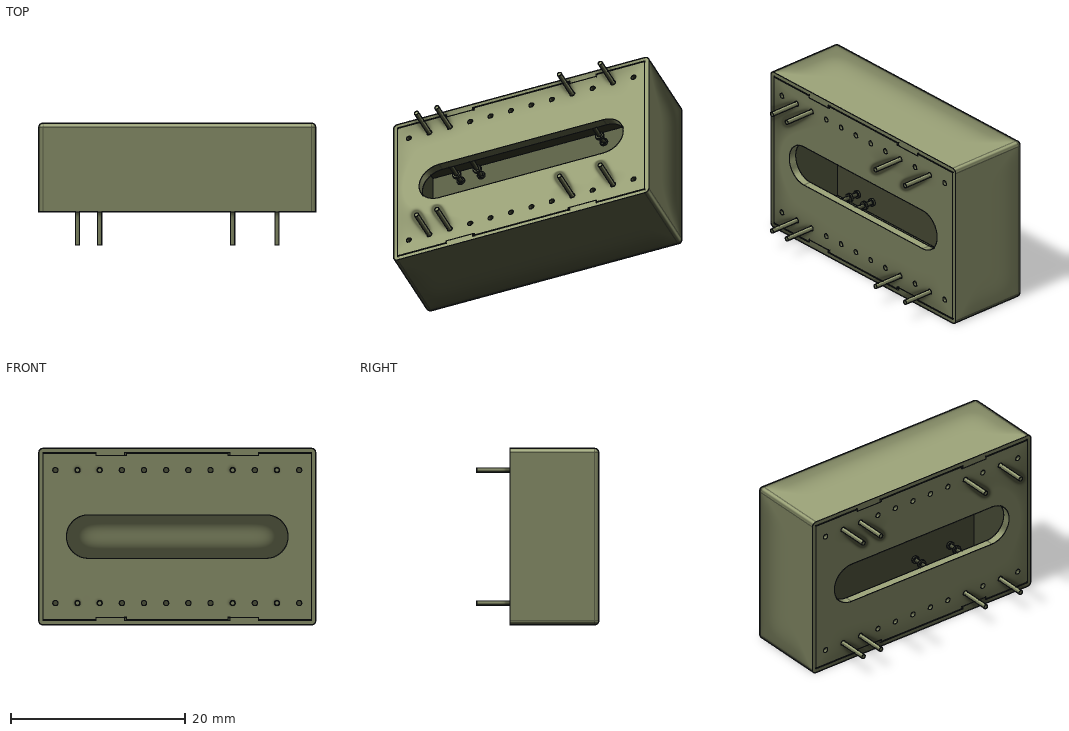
import cadquery as cq

LENGTH = 31.8
HEIGHT = 20.3
DEPTH = 10.2
EDGE_RADIUS = 0.5
BACK_WALL = 0.75
CAVITY_LENGTH = 29.95
CAVITY_HEIGHT = 18.45

RIM = 0.5
PLATE_THICKNESS = 1.0
SEAT_LENGTH = LENGTH - 2 * RIM
SEAT_HEIGHT = HEIGHT - 2 * RIM
TAB_OUTER_END = 9.35
TAB_LENGTH = 3.3
TAB_DEPTH = 0.35

PLATE_GAP = 0.1
PLATE_HEIGHT = SEAT_HEIGHT - 2 * PLATE_GAP
NOTCH_LENGTH = 3.5
SLOT_LENGTH = 25.45
SLOT_HEIGHT = 5.0

HOLES_PER_ROW = 12
PITCH = 2.55
ROW_Z = 7.63
HOLE_DIAMETER = 0.6
PIN_COLUMNS = (1, 2, 8, 10)

PIN_DIAMETER = 0.5
PIN_REACH = 3.82
PIN_BACK = DEPTH - BACK_WALL
HEAD_DIAMETER = 0.9
HEAD_THICKNESS = 0.25
COLLAR_DIAMETER = 1.0
COLLAR_THICKNESS = 0.25
COLLAR_SETBACK = 1.43
COLLAR_FRONT = PIN_BACK - COLLAR_SETBACK

HOLE_X = [(column - (HOLES_PER_ROW - 1) / 2) * PITCH for column in range(HOLES_PER_ROW)]
ROWS = (-ROW_Z, ROW_Z)


def block(x_size, z_size, front, back):
    """A box centred on x and z that runs from y = front to y = back."""
    return cq.Workplane("XY").box(x_size, back - front, z_size).translate((0, (front + back) / 2, 0))


def rod(diameter, front, back):
    """A cylinder on the y axis from y = front to y = back."""
    return cq.Workplane("XZ", origin=(0, front, 0)).circle(diameter / 2).extrude(front - back)


def edge_blocks(length, inner_height):
    """Four blocks along the top and bottom of the seat that share their outer end faces."""
    block_height = (SEAT_HEIGHT - inner_height) / 2
    single = block(length, block_height, 0, PLATE_THICKNESS)
    blocks = cq.Workplane("XY")
    for side in (-1, 1):
        for level in (-1, 1):
            x = side * (TAB_OUTER_END - length / 2)
            z = level * (inner_height + block_height) / 2
            blocks = blocks.add(single.translate((x, 0, z)))
    return blocks.combine()


def make_housing():
    shell = block(LENGTH, HEIGHT, 0, DEPTH).edges("|Y").fillet(EDGE_RADIUS)
    shell = shell.faces(">Y").edges().fillet(EDGE_RADIUS)
    cavity = block(CAVITY_LENGTH, CAVITY_HEIGHT, 0, DEPTH - BACK_WALL)
    seat = block(SEAT_LENGTH, SEAT_HEIGHT, 0, PLATE_THICKNESS)
    tabs = edge_blocks(TAB_LENGTH, SEAT_HEIGHT - 2 * TAB_DEPTH)
    return shell.cut(cavity).cut(seat).union(tabs)


def make_plate():
    plate = block(SEAT_LENGTH, PLATE_HEIGHT, 0, PLATE_THICKNESS)
    plate = plate.cut(edge_blocks(NOTCH_LENGTH, SEAT_HEIGHT - 2 * TAB_DEPTH))
    slot = cq.Workplane("XZ").slot2D(SLOT_LENGTH, SLOT_HEIGHT).extrude(-PLATE_THICKNESS)
    hole_points = [(x, z) for x in HOLE_X for z in ROWS]
    holes = cq.Workplane("XZ").pushPoints(hole_points).circle(HOLE_DIAMETER / 2).extrude(-PLATE_THICKNESS)
    return plate.cut(slot).cut(holes)


def make_pin(x, z):
    wire = rod(PIN_DIAMETER, -PIN_REACH, PIN_BACK)
    head = rod(HEAD_DIAMETER, PIN_BACK - HEAD_THICKNESS, PIN_BACK)
    collar = rod(COLLAR_DIAMETER, COLLAR_FRONT, COLLAR_FRONT + COLLAR_THICKNESS)
    return wire.union(head).union(collar).translate((x, 0, z))


housing = make_housing()
plate = make_plate()
pins = [make_pin(HOLE_X[column], z) for column in PIN_COLUMNS for z in ROWS]

result = cq.Compound.makeCompound([housing.val(), plate.val(), *[pin.val() for pin in pins]])